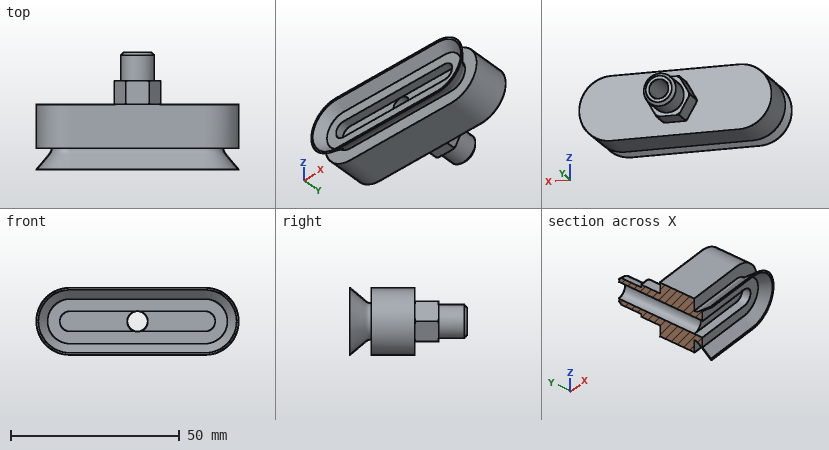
import cadquery as cq
import math

overall_length = 60.0
body_height = 20.0
body_radius = body_height / 2
end_spacing = overall_length - body_height

stud_length = 8.45
nut_length = 7.0
body_depth = 13.0
cup_depth = 6.3
lip_y = 0.0
body_front_y = lip_y + cup_depth
body_back_y = body_front_y + body_depth
nut_back_y = body_back_y + nut_length

flare_angle = math.radians(40)
neck_fillet = 2.4
lip_width = 0.65
floor_depth = 3.25
slot_depth = 3.0

bore_diameter = 6.0
stud_diameter = 10.0
stud_chamfer = 0.95
nut_across_flats = 12.0
nut_corner_radius = nut_across_flats / math.sqrt(3)
nut_bevel_radial = 0.35
nut_bevel_length = 0.2


def plane_at(y):
    """XZ plane at the given Y, with its normal along +Y and local x along +X."""
    return cq.Workplane(cq.Plane(origin=(0, y, 0), xDir=(1, 0, 0), normal=(0, 1, 0)))


def oval_prism(radius, y, depth):
    return plane_at(y).slot2D(end_spacing + 2 * radius, 2 * radius).extrude(depth)


def oval_sweep(draw_profile):
    """Carry an (r, y) half profile round the oval: two round ends and a straight middle."""
    half_spacing = end_spacing / 2
    half_middle = draw_profile(cq.Workplane("ZY")).extrude(half_spacing, both=True)
    solid = half_middle.union(half_middle.mirror("XY"))
    for end_x in (-half_spacing, half_spacing):
        end = draw_profile(cq.Workplane("XY")).revolve(360, (0, 0, 0), (0, 1, 0))
        solid = solid.union(end.translate((end_x, 0, 0)))
    return solid


def flared_skirt():
    """Solid skirt: a fillet leaves the body square on and runs smoothly into the flare."""
    fillet_length = neck_fillet * math.sin(flare_angle)
    flare_start_y = body_front_y - fillet_length
    flare_start_r = body_radius - (flare_start_y - lip_y) * math.tan(flare_angle)
    neck_r = flare_start_r - neck_fillet * (1 - math.cos(flare_angle))
    half_angle = flare_angle / 2
    middle_r = neck_r + neck_fillet * (1 - math.cos(half_angle))
    middle_y = body_front_y - neck_fillet * math.sin(half_angle)

    def draw_profile(plane):
        return (
            plane.moveTo(0, lip_y)
            .lineTo(body_radius, lip_y)
            .lineTo(flare_start_r, flare_start_y)
            .threePointArc((middle_r, middle_y), (neck_r, body_front_y))
            .lineTo(0, body_front_y)
            .close()
        )

    return oval_sweep(draw_profile)


def skirt_recess():
    """Hollow inside the skirt, with walls parallel to the outer flare."""
    mouth_r = body_radius - lip_width
    floor_y = lip_y + floor_depth
    floor_r = mouth_r - floor_depth * math.tan(flare_angle)
    corners = [(0, lip_y), (mouth_r, lip_y), (floor_r, floor_y), (0, floor_y)]
    return oval_sweep(lambda plane: plane.polyline(corners).close())


def hex_nut():
    """Hexagon with corners on the X axis, bevelled at both ends."""
    hexagon = plane_at(body_back_y).polygon(6, 2 * nut_corner_radius).extrude(nut_length)
    bevel_r = nut_corner_radius - nut_bevel_radial
    envelope = cq.Workplane("XY").polyline([
        (0, body_back_y),
        (bevel_r, body_back_y),
        (nut_corner_radius, body_back_y + nut_bevel_length),
        (nut_corner_radius, nut_back_y - nut_bevel_length),
        (bevel_r, nut_back_y),
        (0, nut_back_y),
    ]).close().revolve(360, (0, 0, 0), (0, 1, 0))
    return hexagon.intersect(envelope)


def stud():
    rod = plane_at(nut_back_y).circle(stud_diameter / 2).extrude(stud_length)
    return rod.faces(">Y").chamfer(stud_chamfer)


body = oval_prism(body_radius, body_front_y, body_depth)
slot = oval_prism(bore_diameter / 2, lip_y + floor_depth, slot_depth)
total_depth = nut_back_y + stud_length - lip_y
bore = plane_at(lip_y).circle(bore_diameter / 2).extrude(total_depth)

result = body.union(flared_skirt()).union(hex_nut()).union(stud())
result = result.cut(skirt_recess()).cut(slot).cut(bore)